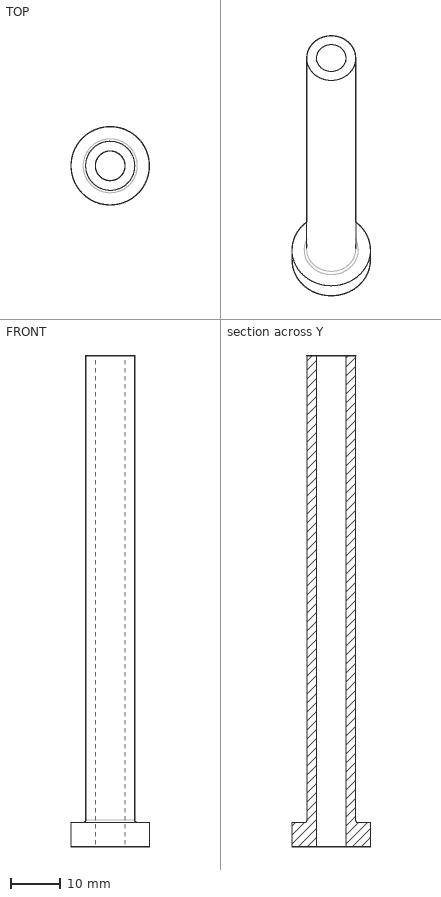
import cadquery as cq

total_length = 100.0
tube_diameter = 10.0
bore_diameter = 6.0

head_diameter = 16.0
head_height = 5.0

root_radius = 0.5

tube_radius = tube_diameter / 2
fillet_top = head_height + root_radius
fillet_outer = tube_radius + root_radius
arc_offset = root_radius * 0.5**0.5

profile = (
    cq.Workplane("XZ")
    .moveTo(bore_diameter / 2, 0)
    .lineTo(head_diameter / 2, 0)
    .lineTo(head_diameter / 2, head_height)
    .lineTo(fillet_outer, head_height)
    .threePointArc(
        (fillet_outer - arc_offset, fillet_top - arc_offset),
        (tube_radius, fillet_top),
    )
    .lineTo(tube_radius, total_length)
    .lineTo(bore_diameter / 2, total_length)
    .close()
)

result = profile.revolve(360, (0, 0, 0), (0, 1, 0))